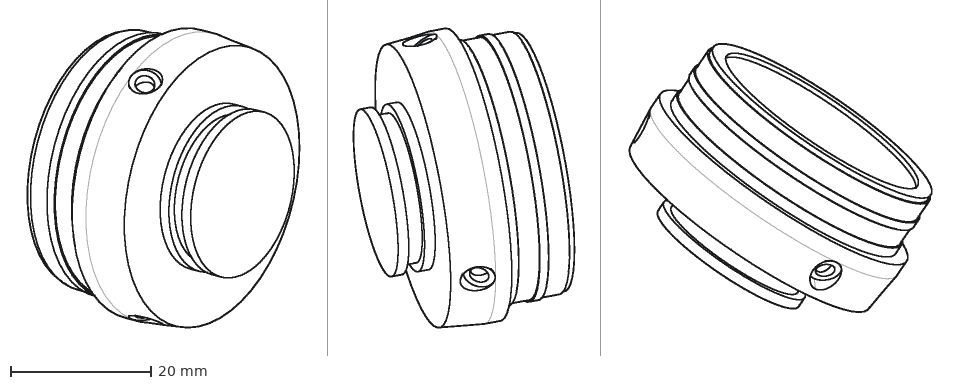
import cadquery as cq
import math

flange_radius = 21.28
flange_end = 12.4
cone_end = 18.8
cone_end_radius = 20.6
body_radius = 19.1
band_radius = 19.35
boss_radius = 12.15
sections = [
    (0.8, 18.8, 18.8),
    (3.95, body_radius, body_radius),
    (5.28, band_radius, band_radius),
    (8.4, body_radius, body_radius),
    (9.95, band_radius, band_radius),
    (flange_end, flange_radius, flange_radius),
    (cone_end, flange_radius, cone_end_radius),
    (20.4, boss_radius, boss_radius),
    (22.72, 10.9, 10.9),
    (24.3, boss_radius, boss_radius),
]

recess_radius = 16.5
recess_depth = 0.7

hole_angles = [0, 120, 240]
hole_tilt = 28.0
counterbore_radius = 2.35
pilot_radius = 1.4
floor_edge_gap = 0.05
pilot_length = 2.55
core_radius = 18.95
cutter_height = 5.1


def turned_body():
    points = [(0, 0)]
    start = 0
    for end, start_radius, end_radius in sections:
        step_point = (start, start_radius)
        if step_point != points[-1]:
            points.append(step_point)
        points.append((end, end_radius))
        start = end
    points.append((start, 0))
    outline = cq.Workplane("XY").polyline(points).close()
    return outline.revolve(360, (0, 0, 0), (1, 0, 0))


def slanted_hole(angle):
    """Counterbore whose floor meets the surface at its flange-side edge."""
    tilt = math.radians(hole_tilt)
    axis = cq.Vector(math.sin(tilt), math.cos(tilt), 0)
    floor_center = cq.Vector(
        flange_end + floor_edge_gap + counterbore_radius * math.cos(tilt),
        flange_radius - counterbore_radius * math.sin(tilt),
        0,
    )
    counterbore = cq.Solid.makeCylinder(counterbore_radius, cutter_height, floor_center, axis)
    pilot = cq.Solid.makeCylinder(pilot_radius, pilot_length, floor_center, axis * -1)
    core = cq.Workplane("YZ").circle(core_radius).extrude(cone_end)
    cutter = cq.Workplane(pilot).cut(core).union(cq.Workplane(counterbore))
    return cutter.rotate((0, 0, 0), (1, 0, 0), angle)


recess = cq.Workplane("YZ").circle(recess_radius).extrude(recess_depth)
result = turned_body().cut(recess)
for hole_angle in hole_angles:
    result = result.cut(slanted_hole(hole_angle))